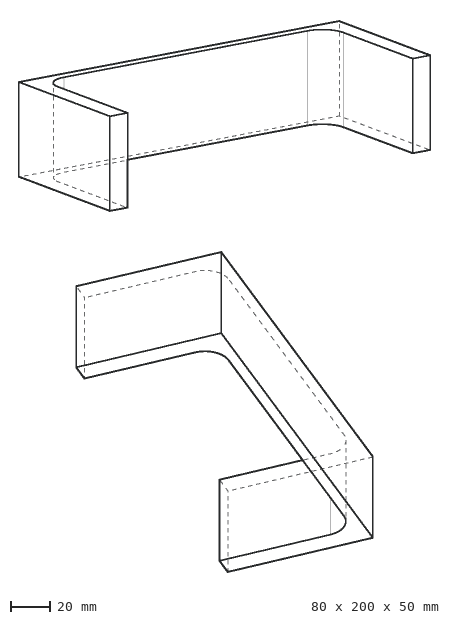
import cadquery as cq

depth = 200.0
flange_width = 80.0
length = 50.0
web_thickness = 6.0
flange_thickness = 11.0
root_radius = 13.0


def channel_blank():
    """Sharp-cornered channel with the web back on X = 0, open toward +X."""
    half_depth = depth / 2
    inner_half_depth = half_depth - flange_thickness
    outline = [
        (0, -half_depth),
        (flange_width, -half_depth),
        (flange_width, -inner_half_depth),
        (web_thickness, -inner_half_depth),
        (web_thickness, inner_half_depth),
        (flange_width, inner_half_depth),
        (flange_width, half_depth),
        (0, half_depth),
    ]
    return cq.Workplane("XY").polyline(outline).close().extrude(length)


def round_roots(channel):
    """Fillet the two inner corners where the web meets the flanges."""
    inner_height = depth - 2 * flange_thickness
    root_points = [(web_thickness, side * inner_height / 2, length / 2) for side in (-1, 1)]
    for point in root_points:
        channel = channel.edges(cq.selectors.NearestToPointSelector(point)).fillet(root_radius)
    return channel


result = round_roots(channel_blank())